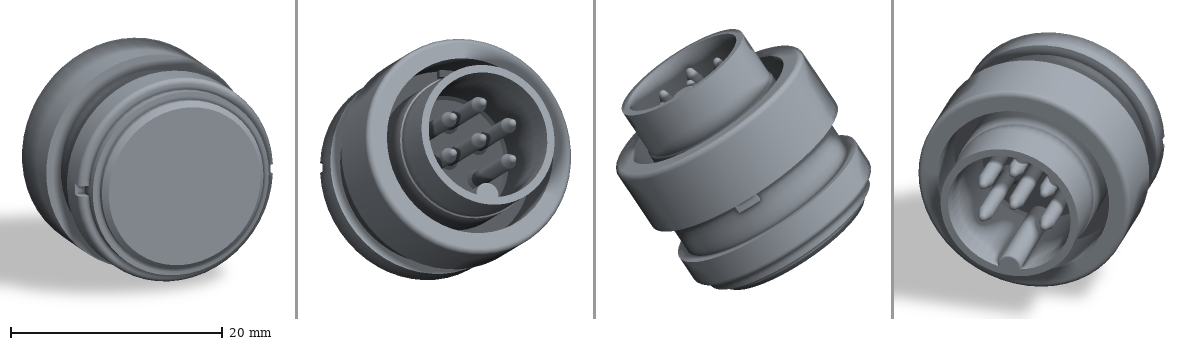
import cadquery as cq
import math


ring_front_x = 4.5
ring_back_x = 11.0
nut_front_x = 15.0
nut_back_x = 18.0
thread_back_x = 19.0
total_length = 20.0

ring_diameter = 21
ring_bore_diameter = 17
ring_fillet = 0.5
well_floor_x = 10.0
thread_diameter = 18.0
tail_diameter = 16.5
tail_chamfer = 0.5

nose_tip_diameter = 13.6
nose_root_diameter = 13.9
nose_taper_x = 4.85
nose_taper_length = 0.15
socket_diameter = 12.14
socket_floor_x = well_floor_x
socket_floor_bevel = 0.32

pin_circle_radius = 3.5
pin_angles = (-30, 30, 90, 150, 210)
pin_diameter = 1.5
pin_cone_diameter = 1.4
pin_tip_diameter = 0.75
pin_tip_x = 1.0
pin_dome_length = 0.27
pin_cone_length = 0.9
pin_edge_length = 0.17
pin_collar_diameter = 2.1
pin_collar_height = (pin_collar_diameter - pin_diameter) / 2

key_radius = 1.15
key_center_z = -5.82
key_fillet = 0.2

lug_width = 2.3
lug_inner_radius = 7.83
lug_length = 0.63

tab_width = 2.3
tab_length = 0.9
tab_radius = 10.0

nut_diameter = 2 * tab_radius
nut_fillet = 0.5
notch_width = 1.0
notch_length = 1.0


def disc(diameter, start_x, end_x):
    """Solid cylinder about the X axis between two stations."""
    return cq.Workplane("YZ", origin=(start_x, 0, 0)).circle(diameter / 2).extrude(end_x - start_x)


def box(x_range, y_range, z_range):
    """Axis-aligned box given by its limits."""
    sizes = [high - low for low, high in (x_range, y_range, z_range)]
    corner = (x_range[0], y_range[0], z_range[0])
    return cq.Workplane().box(*sizes, centered=False).translate(corner)


def revolve_profile(profile):
    """Revolve a closed profile of (x, radius) around the X axis."""
    return profile.close().revolve(360, (0, 0, 0), (1, 0, 0))


def make_shell():
    """Flanged ring with a front well, followed by the threaded barrel and its tail."""
    ring = disc(ring_diameter, ring_front_x, ring_back_x).faces("<X").edges().fillet(ring_fillet)
    well = disc(ring_bore_diameter, ring_front_x, well_floor_x)
    thread = disc(thread_diameter, ring_back_x, thread_back_x)
    tail = disc(tail_diameter, thread_back_x, total_length).faces(">X").edges().chamfer(tail_chamfer)
    return ring.cut(well).union(thread).union(tail)


def make_nose():
    """Solid plug standing in the well, with a short taper to its thicker root."""
    tip_radius = nose_tip_diameter / 2
    root_radius = nose_root_diameter / 2
    outline = (
        cq.Workplane("XY")
        .lineTo(0, tip_radius)
        .lineTo(nose_taper_x, tip_radius)
        .lineTo(nose_taper_x + nose_taper_length, root_radius)
        .lineTo(well_floor_x, root_radius)
        .lineTo(well_floor_x, 0)
    )
    return revolve_profile(outline)


def make_socket():
    """Cavity of the nose, beveled around its floor."""
    cavity = disc(socket_diameter, 0, socket_floor_x)
    return cavity.faces(">X").edges().chamfer(socket_floor_bevel)


def make_pin():
    """Contact pin on the X axis: domed tip, cone, edge taper, shaft and base collar."""
    cone_start_x = pin_tip_x + pin_dome_length
    cone_end_x = cone_start_x + pin_cone_length
    tip_radius = pin_tip_diameter / 2
    dome_radius = (tip_radius**2 + pin_dome_length**2) / (2 * pin_dome_length)
    outline = (
        cq.Workplane("XY")
        .moveTo(pin_tip_x, 0)
        .radiusArc((cone_start_x, tip_radius), dome_radius)
        .lineTo(cone_end_x, pin_cone_diameter / 2)
        .lineTo(cone_end_x + pin_edge_length, pin_diameter / 2)
        .lineTo(socket_floor_x - pin_collar_height, pin_diameter / 2)
        .lineTo(socket_floor_x, pin_collar_diameter / 2)
        .lineTo(socket_floor_x, 0)
    )
    return revolve_profile(outline)


def make_key():
    """Round-topped rib along the lower socket wall, with a rounded front edge."""
    wall_z = -(socket_diameter + nose_tip_diameter) / 4
    rib = (
        cq.Workplane("YZ")
        .moveTo(-key_radius, wall_z)
        .lineTo(-key_radius, key_center_z)
        .threePointArc((0, key_center_z + key_radius), (key_radius, key_center_z))
        .lineTo(key_radius, wall_z)
        .close()
        .extrude(socket_floor_x)
    )
    return rib.faces("<X").edges("not <Z").fillet(key_fillet)


def opposite_band_pieces(inner_radius, outer_radius, width, start_x, end_x):
    """Two opposite pieces, above and below the axis, of a band between two radii."""
    band = disc(2 * outer_radius, start_x, end_x).cut(disc(2 * inner_radius, start_x, end_x))
    half = width / 2
    return band.intersect(box((start_x, end_x), (-half, half), (-outer_radius, outer_radius)))


def make_lugs():
    """Two lugs on the well wall, standing on the well floor."""
    start_x = well_floor_x - lug_length
    return opposite_band_pieces(lug_inner_radius, ring_bore_diameter / 2, lug_width, start_x, well_floor_x)


def make_tab():
    """Single tab below the barrel, against the back of the ring."""
    end_x = ring_back_x + tab_length
    pair = opposite_band_pieces(tail_diameter / 2, tab_radius, tab_width, ring_back_x, end_x)
    return pair.solids("<Z")


def make_connector():
    """Shell, nose, key, pins, lugs and tab as one body."""
    body = make_shell().union(make_nose()).cut(make_socket()).union(make_key())
    pin = make_pin()
    body = body.union(pin)
    for angle in pin_angles:
        y = pin_circle_radius * math.cos(math.radians(angle))
        z = pin_circle_radius * math.sin(math.radians(angle))
        body = body.union(pin.translate((0, y, z)))
    return body.union(make_lugs()).union(make_tab())


def make_nut():
    """Ring nut on the barrel, with a wrench notch on each side."""
    nut = disc(nut_diameter, nut_front_x, nut_back_x).faces(">X").edges().fillet(nut_fillet)
    nut = nut.cut(disc(thread_diameter, nut_front_x, nut_back_x))
    reach = nut_diameter / 2
    half = notch_width / 2
    both_notches = box((nut_back_x - notch_length, nut_back_x), (-reach, reach), (-half, half))
    return nut.cut(both_notches)


connector = make_connector()
nut = make_nut()
result = cq.Compound.makeCompound([connector.val(), nut.val()])